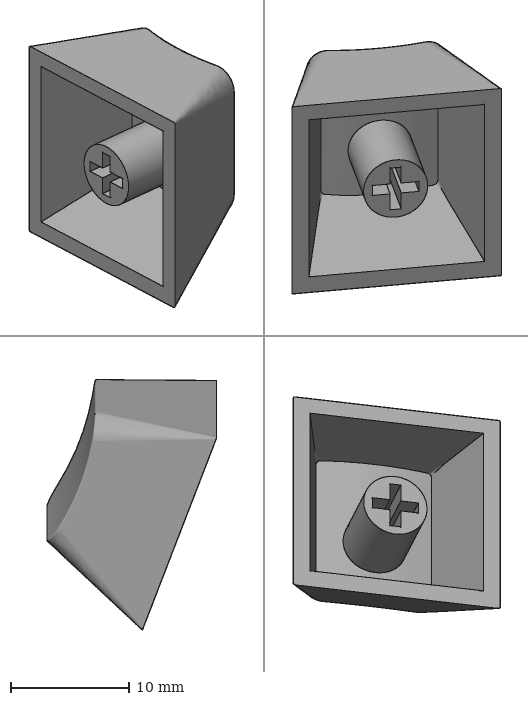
import cadquery as cq


base_side = 18.0
base_corner_radius = 0.15
crown_height = 10.0
side_slope = 0.31
bottom_slope = 0.412
crown_corner_radius = 2.15

dish_radius = 22.5
dish_floor = 9.0
rim_fillet = 0.2

wall = 1.4
sharp_corner_radius = 0.02
stem_diameter = 5.5
stem_recess = 0.5
cross_span = 4.0
cross_arm_width = 0.95

half_base = base_side / 2
corner_growth = (crown_corner_radius - base_corner_radius) / crown_height


def section_plane(height):
    """Plane facing +Y whose local axes are X and -Z."""
    return cq.Plane(origin=(0, height, 0), xDir=(1, 0, 0), normal=(0, 1, 0))


def section(height, inset, corner_radius):
    """Wire of the body outline at a height, with its walls moved inward by inset."""
    side_inset = inset * (1 + side_slope**2) ** 0.5
    bottom_inset = inset * (1 + bottom_slope**2) ** 0.5
    half_width = half_base - side_slope * height - side_inset
    top = half_base - inset
    bottom = -half_base + bottom_slope * height + bottom_inset
    face = cq.Sketch().rect(2 * half_width, top - bottom)
    if corner_radius > 0:
        face = face.vertices().fillet(corner_radius)
    outline = face.moved(cq.Location(cq.Vector(0, -(top + bottom) / 2, 0)))
    return outline.faces().vals()[0].outerWire().moved(section_plane(height).location)


def tapered_solid(lower_section, upper_section):
    return cq.Workplane(cq.Solid.makeLoft([lower_section, upper_section], True))


def dish_cylinder(clearance):
    """Cylinder coaxial with the dish, grown by clearance."""
    axis_height = dish_floor + dish_radius
    radius = dish_radius + clearance
    return cq.Workplane("XY", origin=(0, axis_height, -base_side)).circle(radius).extrude(2 * base_side)


def outer_body():
    mouth = section(0, 0, base_corner_radius)
    crown = section(crown_height, 0, crown_corner_radius)
    blank = tapered_solid(mouth, crown).cut(dish_cylinder(0))
    dish_region = cq.selectors.BoxSelector(
        (-half_base, dish_floor - rim_fillet, -half_base),
        (half_base, crown_height, half_base),
    )
    return blank.edges(dish_region).fillet(rim_fillet)


def hollow():
    """Cavity one wall inside the body: sharp corners below, rounded ones near the ceiling."""
    rounding_height = (wall + sharp_corner_radius - base_corner_radius) / corner_growth
    lower = tapered_solid(section(0, wall, 0), section(rounding_height, wall, 0))
    upper = tapered_solid(
        section(rounding_height, wall, sharp_corner_radius),
        section(crown_height, wall, crown_corner_radius - wall),
    )
    return lower.union(upper).cut(dish_cylinder(wall))


def stem():
    """Cross-bored post reaching from the recess to the dished ceiling."""
    plane = section_plane(stem_recess)
    post = cq.Workplane(plane).circle(stem_diameter / 2).extrude(dish_floor)
    upright = cq.Workplane(plane).rect(cross_arm_width, cross_span).extrude(dish_floor)
    level = cq.Workplane(plane).rect(cross_span, cross_arm_width).extrude(dish_floor)
    return post.cut(upright).cut(level)


result = outer_body().cut(hollow().cut(stem()))